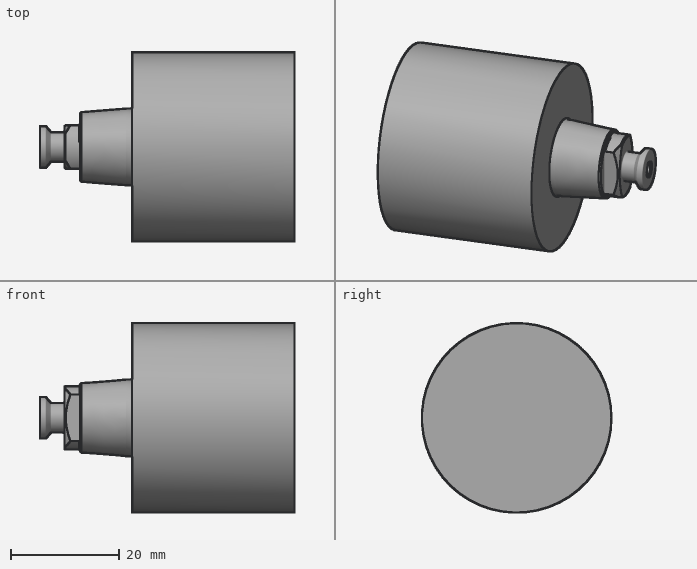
import cadquery as cq
import math

total_length = 47.0

drum_dia = 35.0
drum_start = 17.0

rim_dia = 7.7
rim_end = 1.15
edge_round = 0.15
neck_dia = 5.5
neck_start = 2.05

collar_start = 4.5
collar_dia = 11.75
collar_chamfer = 0.2
flat_width = 8.1
flat_lead_radius = 10.35
flat_lead_half_width = 3.75
root_round = 0.15

shoulder_start = 7.4
shoulder_chamfer = 0.35
taper_small_dia = 12.9
taper_end = 15.95
shoulder_dia = 14.2
foot_round = 0.25

mouth_dia = 3.0
bore_dia = 2.5
bore_depth = 1.9
drill_dia = 2.0
drill_depth = 4.7
drill_point_angle = 118.0


def make_tip():
    """Rim, conical back and neck, turned about the X axis."""
    profile = (
        cq.Workplane("XY")
        .lineTo(0, rim_dia / 2)
        .lineTo(rim_end, rim_dia / 2)
        .lineTo(neck_start, neck_dia / 2)
        .lineTo(collar_start - edge_round, neck_dia / 2)
        .radiusArc((collar_start, neck_dia / 2 + edge_round), -edge_round)
        .lineTo(collar_start, 0)
        .close()
    )
    tip = profile.revolve(360, (0, 0, 0), (1, 0, 0))
    rim_and_neck = cq.selectors.BoxSelector(
        (-edge_round, -rim_dia, -rim_dia),
        (neck_start + edge_round, rim_dia, rim_dia),
        boundingbox=True,
    )
    return tip.edges("%CIRCLE").edges(rim_and_neck).fillet(edge_round)


def make_flat_lead():
    """Cone that bevels the flats on one side, offset toward the other side."""
    length = shoulder_start - collar_start
    cone = cq.Solid.makeCone(
        flat_lead_radius,
        flat_lead_radius + length,
        length,
        pnt=cq.Vector(collar_start, flat_lead_half_width - flat_lead_radius, 0),
        dir=cq.Vector(1, 0, 0),
    )
    return cq.Workplane(cone)


def make_collar():
    """Round collar with two flats facing +Y and -Y and bevelled leading edges."""
    length = shoulder_start - collar_start
    collar = (
        cq.Workplane("YZ", origin=(collar_start, 0, 0))
        .circle(collar_dia / 2)
        .extrude(length)
        .faces("<X")
        .chamfer(collar_chamfer)
    )
    flats = cq.Workplane("YZ", origin=(collar_start, 0, 0)).rect(flat_width, collar_dia).extrude(length)
    lead = make_flat_lead()
    return collar.intersect(flats).intersect(lead).intersect(lead.mirror("XZ"))


def make_shoulder():
    """Tapered shoulder with a chamfered nose and a foot that flares onto the drum."""
    return (
        cq.Workplane("XY")
        .moveTo(shoulder_start, 0)
        .lineTo(shoulder_start, taper_small_dia / 2 - shoulder_chamfer)
        .lineTo(shoulder_start + shoulder_chamfer, taper_small_dia / 2)
        .lineTo(taper_end, shoulder_dia / 2)
        .lineTo(drum_start - foot_round, shoulder_dia / 2)
        .radiusArc((drum_start, shoulder_dia / 2 + foot_round), -foot_round)
        .lineTo(drum_start, 0)
        .close()
        .revolve(360, (0, 0, 0), (1, 0, 0))
    )


def make_hole():
    """Volume removed by the stepped centre hole."""
    mouth_depth = (mouth_dia - bore_dia) / 2
    point_depth = drill_dia / 2 / math.tan(math.radians(drill_point_angle / 2))
    return (
        cq.Workplane("XY")
        .lineTo(0, mouth_dia / 2)
        .lineTo(mouth_depth, bore_dia / 2)
        .lineTo(bore_depth, bore_dia / 2)
        .lineTo(bore_depth, drill_dia / 2)
        .lineTo(drill_depth, drill_dia / 2)
        .lineTo(drill_depth + point_depth, 0)
        .close()
        .revolve(360, (0, 0, 0), (1, 0, 0))
    )


def make_stem():
    """Tip, collar and shoulder as one solid, bored from the tip."""
    body = make_collar().union(make_shoulder())
    reach = collar_dia / 2 + root_round
    collar_root = cq.selectors.BoxSelector(
        (shoulder_start - root_round, -reach, -reach),
        (shoulder_start + root_round, reach, reach),
        boundingbox=True,
    )
    body = body.edges(collar_root).fillet(root_round)
    return body.union(make_tip()).cut(make_hole())


def make_drum():
    """Plain cylinder behind the stem."""
    return (
        cq.Workplane("YZ", origin=(drum_start, 0, 0))
        .circle(drum_dia / 2)
        .extrude(total_length - drum_start)
    )


stem = make_stem()
drum = make_drum()
result = cq.Compound.makeCompound([stem.val(), drum.val()])